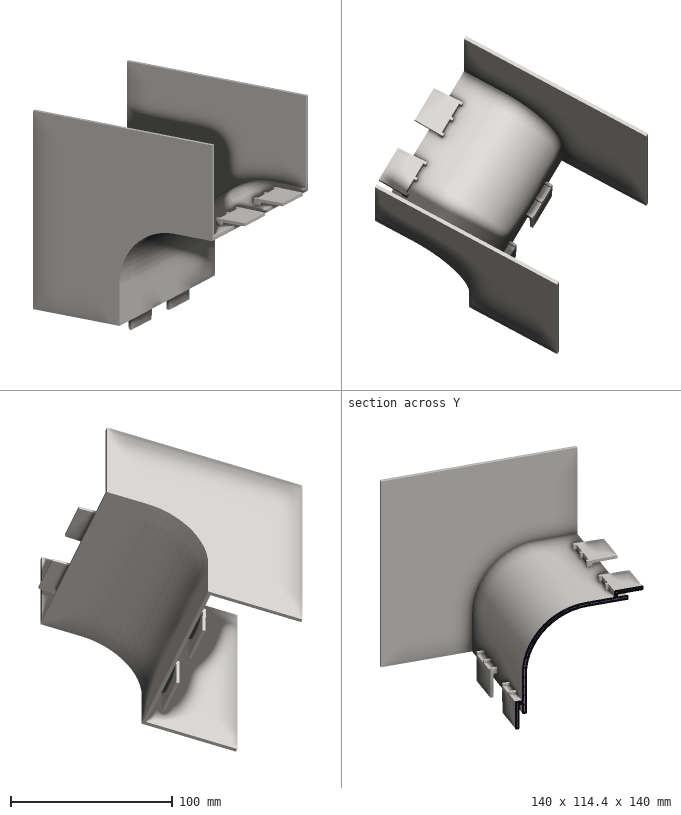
import cadquery as cq
import math


LEG_LENGTH = 130.0
LEG_WIDTH = 62.7
OVERALL_WIDTH = 114.4
CHEEK_THICKNESS = 2.3
FLOOR_THICKNESS = 2.35
BEND_RADIUS = 40.0

TAB_OVERHANG = 10.0
TAB_LENGTH = 18.7
TAB_THICKNESS = 2.0
TAB_WIDTH = 25.3
TIP_TAPER = 0.6
TAB_HEIGHT = 4.6
TAB_SPACING = 45.2
FOOT_LENGTH = 1.9
RIB_LENGTH = 1.8
RIB_WIDTH = 1.8
RIBS_PER_TAB = 3

FLOOR_LEVEL = LEG_WIDTH - FLOOR_THICKNESS
BEND_CENTRE = LEG_WIDTH + BEND_RADIUS
TAB_TIP = LEG_LENGTH + TAB_OVERHANG
FOOT_BACK = TAB_TIP - TAB_LENGTH
TAB_TOP = FLOOR_LEVEL - TAB_HEIGHT
RIB_PITCH = (TAB_WIDTH - RIB_WIDTH) / (RIBS_PER_TAB - 1)
CHEEK_CENTRE = (OVERALL_WIDTH - CHEEK_THICKNESS) / 2


def bend_point(radius):
    """Middle of the 90 degree bend, on the diagonal of the L."""
    offset = BEND_CENTRE - radius * math.sqrt(0.5)
    return offset, -offset


def box(x_range, y_centre, y_width, depth_range):
    """Block given by its X range, its Y centre and width, and its range of depth below Z = 0."""
    x_start, x_end = x_range
    depth_start, depth_end = depth_range
    return cq.Workplane("XY").box(
        x_end - x_start, y_width, depth_end - depth_start, centered=(False, True, False)
    ).translate((x_start, y_centre, -depth_end))


def extrude_along_y(sketch, width, y_centre=0.0):
    """Extrude an XZ outline symmetrically about the plane Y = y_centre."""
    return sketch.extrude(width / 2, both=True).translate((0, y_centre, 0))


def make_cheek(y_centre):
    outline = (
        cq.Workplane("XZ")
        .lineTo(LEG_LENGTH, 0)
        .lineTo(LEG_LENGTH, -LEG_WIDTH)
        .lineTo(BEND_CENTRE, -LEG_WIDTH)
        .threePointArc(bend_point(BEND_RADIUS), (LEG_WIDTH, -BEND_CENTRE))
        .lineTo(LEG_WIDTH, -LEG_LENGTH)
        .lineTo(0, -LEG_LENGTH)
        .close()
    )
    return extrude_along_y(outline, CHEEK_THICKNESS, y_centre)


def make_floor():
    outline = (
        cq.Workplane("XZ")
        .moveTo(LEG_LENGTH, -LEG_WIDTH)
        .lineTo(BEND_CENTRE, -LEG_WIDTH)
        .threePointArc(bend_point(BEND_RADIUS), (LEG_WIDTH, -BEND_CENTRE))
        .lineTo(LEG_WIDTH, -LEG_LENGTH)
        .lineTo(FLOOR_LEVEL, -LEG_LENGTH)
        .lineTo(FLOOR_LEVEL, -BEND_CENTRE)
        .threePointArc(bend_point(BEND_RADIUS + FLOOR_THICKNESS), (BEND_CENTRE, -FLOOR_LEVEL))
        .lineTo(LEG_LENGTH, -FLOOR_LEVEL)
        .close()
    )
    return extrude_along_y(outline, OVERALL_WIDTH)


def make_tab(y_centre):
    """Tab of the X leg: a tapered plate on a foot, with ribs behind the foot."""
    base_half = TAB_WIDTH / 2
    tip_half = base_half - TIP_TAPER
    foot_end = FOOT_BACK + FOOT_LENGTH
    tab = (
        cq.Workplane("XY")
        .polyline([
            (FOOT_BACK, -base_half),
            (TAB_TIP, -tip_half),
            (TAB_TIP, tip_half),
            (FOOT_BACK, base_half),
        ])
        .close()
        .extrude(TAB_THICKNESS)
        .translate((0, y_centre, -TAB_TOP - TAB_THICKNESS))
    )
    foot_depths = (TAB_TOP, LEG_WIDTH)
    tab = tab.union(box((FOOT_BACK, foot_end), y_centre, TAB_WIDTH, foot_depths))
    for index in range(RIBS_PER_TAB):
        rib_y = y_centre + (index - (RIBS_PER_TAB - 1) / 2) * RIB_PITCH
        tab = tab.union(box((FOOT_BACK - RIB_LENGTH, foot_end), rib_y, RIB_WIDTH, foot_depths))
    return tab


def to_other_leg(body):
    """Reflect a body of the X leg onto the Z leg, across the diagonal of the L."""
    return body.mirror("XY").rotate((0, 0, 0), (0, 1, 0), 90)


result = make_floor()
for side in (-1, 1):
    result = result.union(make_cheek(side * CHEEK_CENTRE))
    tab = make_tab(side * TAB_SPACING / 2)
    result = result.union(tab).union(to_other_leg(tab))